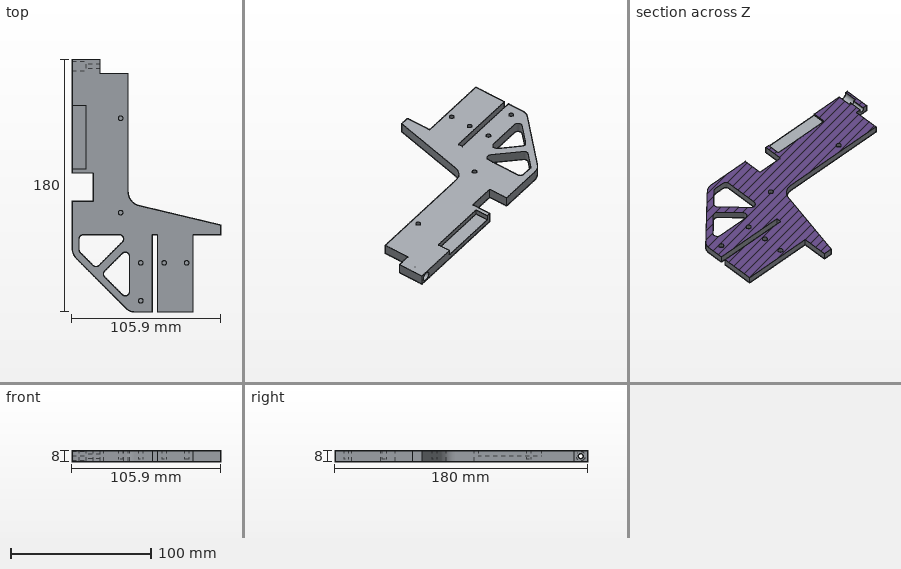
import cadquery as cq
import math

thickness = 8.0
total_length = 180.0
total_width = 105.92

leg_width = 40.0
tab_width = 20.0
shoulder_y = 170.0
side_notch_depth = 15.0
side_notch_bottom = 79.0
side_notch_height = 20.0

arm_bottom = 55.0
arm_tip_height = 7.0
arm_taper_angle = 13.4
arm_corner_radius = 10.0

block_right = 86.2
slot_left = 57.25
slot_width = 3.5

slope_top_y = 41.2
slope_foot_x = 40.95
slope_upper_radius = 10.5
slope_lower_radius = 8.25

window_wall = 5.0
window_right = 40.9
rib_width = 5.8
window_radius = 3.0

pocket_width = 10.0
pocket_bottom = 102.0
pocket_length = 45.0
pocket_depth = 4.0

blind_hole_diameter = 3.3
blind_hole_depth = 6.0
leg_hole_x = 34.6
leg_hole_ys = (70.8, 138.0)
block_hole_y = 35.0
block_hole_xs = (48.9, 65.6, 81.6)
foot_hole_y = 8.0

cross_hole_inset = 5.0
cross_hole_y = total_length - cross_hole_inset
cross_hole_diameter = 3.4
counterbore_diameter = 6.5
counterbore_depth = 10.0


def extrude_outline(points):
    return cq.Workplane("XY").polyline(points).close().extrude(thickness)


def round_corner(body, point, radius):
    """Round the vertical edge that stands at the given XY point."""
    x, y = point
    reach = 0.1
    picker = cq.selectors.BoxSelector(
        (x - reach, y - reach, -reach),
        (x + reach, y + reach, thickness + reach),
    )
    return body.edges("|Z").edges(picker).fillet(radius)


def make_plate():
    arm_tip_top = arm_bottom + arm_tip_height
    arm_run = total_width - leg_width
    arm_root = (leg_width, arm_tip_top + arm_run * math.tan(math.radians(arm_taper_angle)))
    slope_top = (0, slope_top_y)
    slope_foot = (slope_foot_x, 0)
    side_notch_top = side_notch_bottom + side_notch_height
    slot_right = slot_left + slot_width
    plate = extrude_outline([
        slope_foot,
        (slot_left, 0),
        (slot_left, arm_bottom),
        (slot_right, arm_bottom),
        (slot_right, 0),
        (block_right, 0),
        (block_right, arm_bottom),
        (total_width, arm_bottom),
        (total_width, arm_tip_top),
        arm_root,
        (leg_width, shoulder_y),
        (tab_width, shoulder_y),
        (tab_width, total_length),
        (0, total_length),
        (0, side_notch_top),
        (side_notch_depth, side_notch_top),
        (side_notch_depth, side_notch_bottom),
        (0, side_notch_bottom),
        slope_top,
    ])
    plate = round_corner(plate, arm_root, arm_corner_radius)
    plate = round_corner(plate, slope_top, slope_upper_radius)
    return round_corner(plate, slope_foot, slope_lower_radius)


def make_windows():
    """Two rounded windows, parted by a rib that runs at 45 degrees up to the right."""
    slope_sum = slope_top_y + window_wall * math.sqrt(2)
    upper_offset = arm_bottom - window_right
    lower_offset = upper_offset - rib_width * math.sqrt(2)
    upper_foot_x = (slope_sum - upper_offset) / 2
    lower_foot_x = (slope_sum - lower_offset) / 2
    upper_window = extrude_outline([
        (window_wall, arm_bottom),
        (window_right, arm_bottom),
        (upper_foot_x, slope_sum - upper_foot_x),
        (window_wall, slope_sum - window_wall),
    ])
    lower_window = extrude_outline([
        (window_right, window_right + lower_offset),
        (window_right, slope_sum - window_right),
        (lower_foot_x, slope_sum - lower_foot_x),
    ])
    upper_window = upper_window.edges("|Z").fillet(window_radius)
    lower_window = lower_window.edges("|Z").fillet(window_radius)
    return upper_window.union(lower_window)


def make_edge_pocket():
    return cq.Workplane("XY").box(pocket_width, pocket_length, pocket_depth, centered=False).translate(
        (0, pocket_bottom, thickness - pocket_depth)
    )


def make_blind_holes():
    centers = [(leg_hole_x, y) for y in leg_hole_ys]
    centers += [(x, block_hole_y) for x in block_hole_xs]
    centers.append((block_hole_xs[0], foot_hole_y))
    top_face = cq.Workplane("XY", origin=(0, 0, thickness))
    return top_face.pushPoints(centers).circle(blind_hole_diameter / 2).extrude(-blind_hole_depth)


def make_cross_hole():
    left_edge = cq.Workplane("YZ").center(cross_hole_y, thickness / 2)
    bore = left_edge.circle(cross_hole_diameter / 2).extrude(tab_width)
    counterbore = left_edge.circle(counterbore_diameter / 2).extrude(counterbore_depth)
    return bore.union(counterbore)


result = (
    make_plate()
    .cut(make_windows())
    .cut(make_edge_pocket())
    .cut(make_blind_holes())
    .cut(make_cross_hole())
)